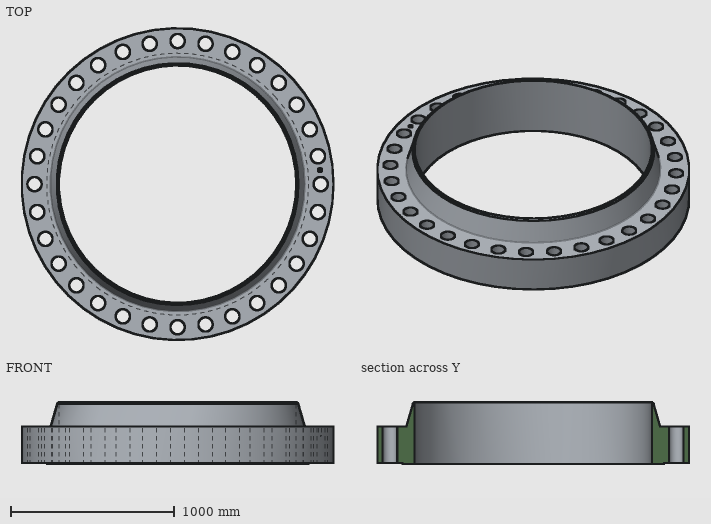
import cadquery as cq
import math

flange_diameter = 1905.0
flange_bottom = 5.0
flange_top = 230.0
raised_face_diameter = 1600.0
bore_diameter = 1447.0

total_height = 377.0
hub_base_diameter = 1552.0
hub_neck_diameter = 1476.0
weld_land_diameter = 1453.0
bevel_height = 10.0
hub_neck_height = 5.0
hub_fillet_radius = 4.0

bolt_count = 32
bolt_circle_diameter = 1746.0
bolt_hole_diameter = 85.0

countersink_diameter = 25.0
small_hole_diameter = 17.0
small_hole_depth = 57.0
drill_point_angle = 118


def ring_body():
    """Revolve the half section of flange, hub and raised face about Z."""
    bore_radius = bore_diameter / 2
    bevel_start = total_height - bevel_height
    section = [
        (bore_radius, 0),
        (raised_face_diameter / 2, 0),
        (raised_face_diameter / 2, flange_bottom),
        (flange_diameter / 2, flange_bottom),
        (flange_diameter / 2, flange_top),
        (hub_base_diameter / 2, flange_top),
        (hub_neck_diameter / 2, bevel_start - hub_neck_height),
        (hub_neck_diameter / 2, bevel_start),
        (weld_land_diameter / 2, total_height),
        (bore_radius, total_height),
    ]
    body = cq.Workplane("XZ").polyline(section).close().revolve(360, (0, 0), (0, 1))
    third_largest = cq.selectors.RadiusNthSelector(-3)
    hub_base_edge = body.edges("%CIRCLE").edges(third_largest)
    return hub_base_edge.fillet(hub_fillet_radius)


def bolt_holes():
    """Cylinders for the evenly spaced through holes, the first one on +X."""
    return (
        cq.Workplane("XY")
        .polarArray(bolt_circle_diameter / 2, 0, 360, bolt_count)
        .circle(bolt_hole_diameter / 2)
        .extrude(flange_top)
    )


def small_hole():
    """Countersunk, pointed cutter for the blind hole, half a bolt pitch from the +X bolt hole."""
    hole_radius = small_hole_diameter / 2
    countersink_radius = countersink_diameter / 2
    countersink_depth = countersink_radius - hole_radius
    point_length = hole_radius / math.tan(math.radians(drill_point_angle / 2))
    half_section = [
        (0, 0),
        (countersink_radius, 0),
        (hole_radius, -countersink_depth),
        (hole_radius, -small_hole_depth),
        (0, -small_hole_depth - point_length),
    ]
    cutter = cq.Workplane("XZ").polyline(half_section).close().revolve(360, (0, 0), (0, 1))
    half_pitch = 360 / bolt_count / 2
    placed = cutter.translate((bolt_circle_diameter / 2, 0, flange_top))
    return placed.rotate((0, 0, 0), (0, 0, 1), half_pitch)


result = ring_body().cut(bolt_holes()).cut(small_hole())